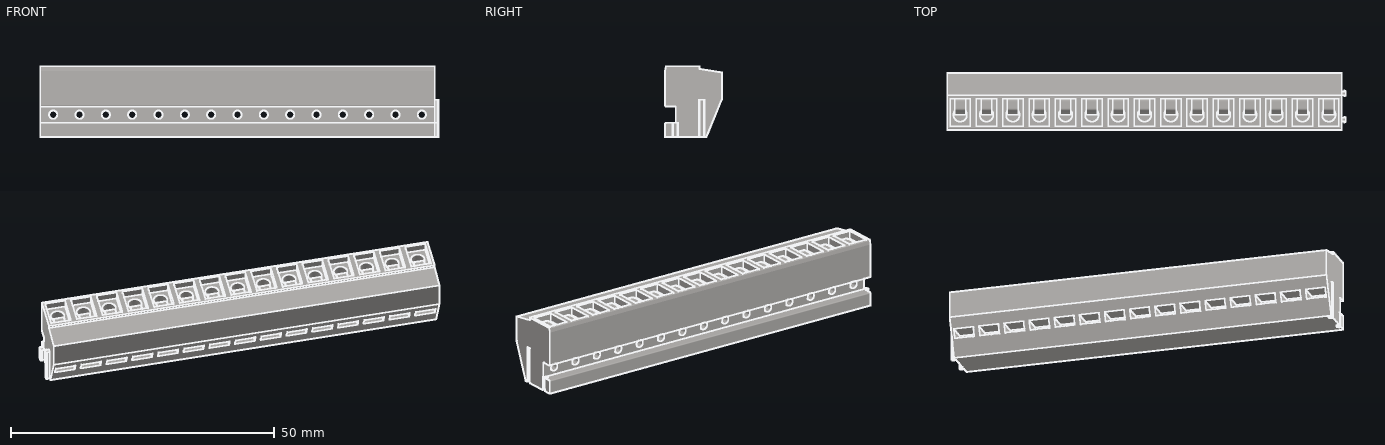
import cadquery as cq
import math

cell_count = 15
pitch = 5.0
body_length = cell_count * pitch
depth = 10.8
height = 13.5

back_top_z = 12.3
step_y = 6.6
step_bottom_z = 12.95
back_knee_z = 7.2
bottom_back_y = 7.9
front_bevel_y = 0.11
front_bevel_z = 0.9
front_edge_round = 0.2

slot_depth = 2.05
slot_bottom_z = 2.7
slot_top_z = 5.75
lip_round = 0.265

hole_diameter = 1.5
hole_z = (slot_bottom_z + slot_top_z) / 2
wire_entry_width = 3.85
wire_entry_height = 1.7
wire_entry_end_y = 6.05

pocket_width = 3.85
pocket_front_y = 0.7
pocket_back_y = 5.9
pocket_depth = 1.6
pocket_floor_z = height - pocket_depth

recess_diameter = 2.6
recess_y = 2.9
recess_depth = 2.0
recess_floor_z = pocket_floor_z - recess_depth
clamp_width = 2.05
clamp_rise = 0.45
clamp_top_z = pocket_floor_z + clamp_rise
clamp_round = 0.6
clamp_flat_front_y = 4.1
clamp_flat_back_y = 5.45

rib_reach = 0.75
rib_neck_width = 0.75
rib_neck_reach = 0.45
rib_head_width = 1.1
interlocks = [(7.0, 7.1), (2.0, slot_bottom_z)]


def make_housing():
    """Housing profile with the front rail slot, extruded over all cells."""
    return (
        cq.Workplane("YZ")
        .moveTo(0, 0)
        .lineTo(bottom_back_y, 0)
        .lineTo(depth, back_knee_z)
        .lineTo(depth, back_top_z)
        .lineTo(step_y, step_bottom_z)
        .lineTo(step_y, height)
        .lineTo(front_bevel_y + front_edge_round, height)
        .radiusArc((front_bevel_y, height - front_edge_round), -front_edge_round)
        .lineTo(0, height - front_bevel_z)
        .lineTo(0, slot_top_z + lip_round)
        .radiusArc((lip_round, slot_top_z), -lip_round)
        .lineTo(slot_depth, slot_top_z)
        .lineTo(slot_depth, slot_bottom_z)
        .lineTo(lip_round, slot_bottom_z)
        .radiusArc((0, slot_bottom_z - lip_round), -lip_round)
        .close()
        .extrude(body_length)
    )


def make_clamp(x):
    """Flat-topped bar, rounded at both ends, with a sloping front foot in the recess."""
    round_center_z = clamp_top_z - clamp_round
    back_reach = pocket_back_y - clamp_flat_back_y
    back_end_z = round_center_z + math.sqrt(clamp_round**2 - back_reach**2)
    return (
        cq.Workplane("YZ", origin=(x - clamp_width / 2, 0, 0))
        .moveTo(recess_y, recess_floor_z)
        .lineTo(clamp_flat_front_y - clamp_round, round_center_z)
        .radiusArc((clamp_flat_front_y, clamp_top_z), clamp_round)
        .lineTo(clamp_flat_back_y, clamp_top_z)
        .radiusArc((pocket_back_y, back_end_z), clamp_round)
        .lineTo(pocket_back_y, recess_floor_z)
        .close()
        .extrude(clamp_width)
    )


def make_cell_cutter(x):
    """Everything removed for the cell centred at x."""
    pocket = (
        cq.Workplane("XY", origin=(x, pocket_front_y, pocket_floor_z))
        .box(pocket_width, pocket_back_y - pocket_front_y, pocket_depth, centered=(True, False, False))
    )
    recess = (
        cq.Workplane("XY", origin=(x, recess_y, recess_floor_z))
        .circle(recess_diameter / 2)
        .extrude(recess_depth)
    )
    test_hole = (
        cq.Workplane("XZ", origin=(x, 0, hole_z))
        .circle(hole_diameter / 2)
        .extrude(-depth)
    )
    wire_entry = (
        cq.Workplane("XZ", origin=(x, wire_entry_end_y, hole_z))
        .rect(wire_entry_width, wire_entry_height)
        .extrude(wire_entry_end_y - depth)
    )
    return pocket.union(recess).cut(make_clamp(x)).union(test_hole).union(wire_entry)


def make_interlock(x, y, rib_height):
    """Rib reaching from x towards +X: a narrow neck and a head tapering to its tip."""
    half_neck = rib_neck_width / 2
    half_head = rib_head_width / 2
    return (
        cq.Workplane("XY")
        .polyline(
            [
                (x, y - half_neck),
                (x + rib_neck_reach, y - half_neck),
                (x + rib_neck_reach, y - half_head),
                (x + rib_reach, y - half_neck),
                (x + rib_reach, y + half_neck),
                (x + rib_neck_reach, y + half_head),
                (x + rib_neck_reach, y + half_neck),
                (x, y + half_neck),
            ]
        )
        .close()
        .extrude(rib_height)
    )


result = make_housing()

for cell in range(cell_count):
    result = result.cut(make_cell_cutter((cell + 0.5) * pitch))

for interlock_y, interlock_height in interlocks:
    result = result.cut(make_interlock(0, interlock_y, interlock_height))
    result = result.union(make_interlock(body_length, interlock_y, interlock_height))